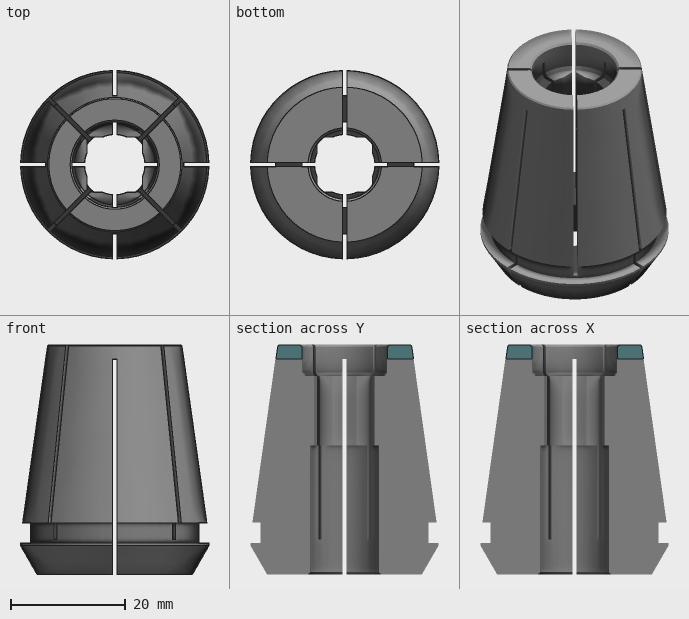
import cadquery as cq
import math


length = 40.0
flange_radius = 16.4
nut_taper_height = 5.05
nut_taper_angle = 30.0
flange_top = 5.5
neck_radius = 14.65
body_bottom = 9.0
body_radius = 16.05
body_taper_angle = 8.0
body_chamfer = 0.25

shank_radius = 6.0
shank_chamfer = 0.4
square_width = 9.6
square_relief_radius = 5.25
square_bottom = 22.4
socket_floor = 34.5
socket_floor_radius = 7.0
socket_cone_top = 35.1
socket_radius = 7.45
socket_chamfer = 0.3

slot_width = 0.7
slot_length = 40.0
lower_slot_top = 37.5
upper_slot_bottom = 6.1


def revolve_profile(points):
    """Turn (radius, height) points about the Z axis."""
    return cq.Workplane("XZ").polyline(points).close().revolve(360, (0, 0, 0), (0, 1, 0))


def outer_body():
    nut_end_radius = flange_radius - nut_taper_height * math.tan(math.radians(nut_taper_angle))
    body_taper = math.tan(math.radians(body_taper_angle))
    chamfer_bottom = length - body_chamfer
    chamfer_radius = body_radius - (chamfer_bottom - body_bottom) * body_taper
    return revolve_profile([
        (0, 0),
        (nut_end_radius, 0),
        (flange_radius, nut_taper_height),
        (flange_radius, flange_top),
        (neck_radius, flange_top),
        (neck_radius, body_bottom),
        (body_radius, body_bottom),
        (chamfer_radius, chamfer_bottom),
        (chamfer_radius - body_chamfer, length),
        (0, length),
    ])


def shank_bore():
    return revolve_profile([
        (0, 0),
        (shank_radius + shank_chamfer, 0),
        (shank_radius, shank_chamfer),
        (shank_radius, square_bottom),
        (0, square_bottom),
    ])


def square_drive():
    """Square hole whose flats are relieved in the middle by a round bore."""
    depth = socket_floor - square_bottom
    base = cq.Workplane("XY", origin=(0, 0, square_bottom))
    return base.rect(square_width, square_width).extrude(depth).union(
        base.circle(square_relief_radius).extrude(depth)
    )


def top_socket():
    return revolve_profile([
        (0, socket_floor),
        (socket_floor_radius, socket_floor),
        (socket_radius, socket_cone_top),
        (socket_radius, length - socket_chamfer),
        (socket_radius + socket_chamfer, length),
        (0, length),
    ])


def crossed_slots(bottom, top, angle):
    """Two slots at right angles, each cutting right across the collet."""
    slots = cq.Workplane("XY")
    for turn in (angle, angle + 90):
        slot = cq.Workplane("XY", origin=(0, 0, bottom)).rect(slot_length, slot_width)
        slots = slots.add(slot.extrude(top - bottom).rotate((0, 0, 0), (0, 0, 1), turn))
    return slots.combine()


result = (
    outer_body()
    .cut(shank_bore())
    .cut(square_drive())
    .cut(top_socket())
    .cut(crossed_slots(0, lower_slot_top, 0))
    .cut(crossed_slots(upper_slot_bottom, length, 45))
)